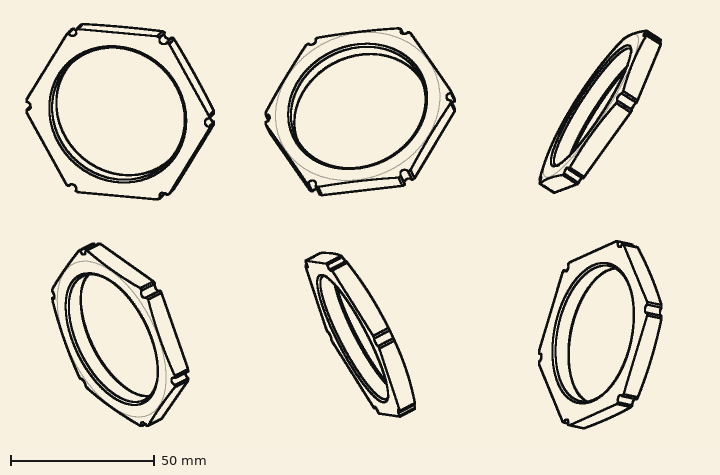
import cadquery as cq
import math

thickness = 7.0
across_flats = 60.0
across_corners = 66.55

corner_count = 6
notch_diameter = 3.0
notch_radius = notch_diameter / 2
notch_center_radius = across_corners / 2

corner_radius = math.hypot(notch_center_radius, notch_radius)

bore_diameter = 48.4
bore_mouth_diameter = 50.0
bore_chamfer = (bore_mouth_diameter - bore_diameter) / 2

bevel_start_radius = 29.55
bevel_angle = 13
bevel_drop = (corner_radius - bevel_start_radius) * math.tan(math.radians(bevel_angle))


def turned_blank():
    """Ring about the Y axis, with the outer bevel and both bore chamfers."""
    bore_radius = bore_diameter / 2
    mouth_radius = bore_mouth_diameter / 2
    profile = [
        (mouth_radius, 0),
        (corner_radius, 0),
        (corner_radius, thickness - bevel_drop),
        (bevel_start_radius, thickness),
        (mouth_radius, thickness),
        (bore_radius, thickness - bore_chamfer),
        (bore_radius, bore_chamfer),
    ]
    return cq.Workplane("XY").polyline(profile).close().revolve(360, (0, 0, 0), (0, 1, 0))


def hexagon():
    """Prism along +Y with two corners on the X axis."""
    sharp_corner_width = across_flats / math.cos(math.pi / corner_count)
    return cq.Workplane("XZ").polygon(corner_count, sharp_corner_width).extrude(-thickness)


def corner_notches():
    """Round cutters along +Y, one at each hexagon corner."""
    return (
        cq.Workplane("XZ")
        .polarArray(notch_center_radius, 0, 360, corner_count)
        .circle(notch_radius)
        .extrude(-thickness)
    )


result = turned_blank().intersect(hexagon()).cut(corner_notches())